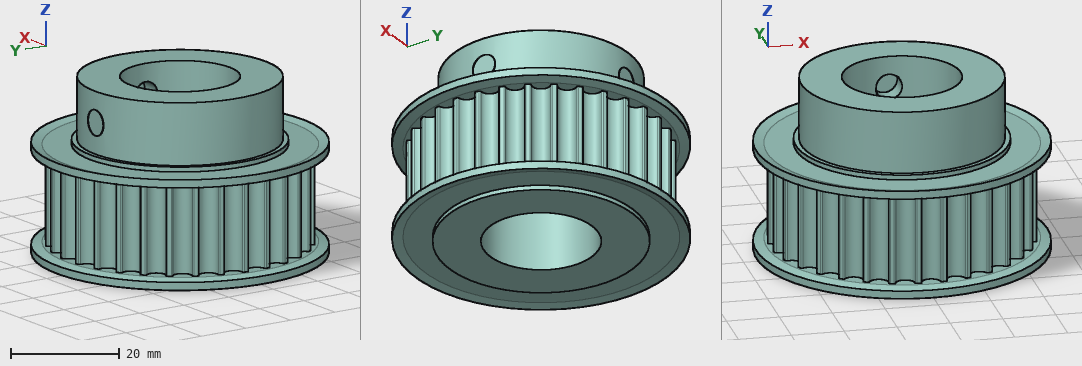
import cadquery as cq
import math

toothed_length = 22.0
hub_length = 12.0
total_height = toothed_length + hub_length

bore_radius = 11.1
hub_diameter = 38.0
hub_radius = hub_diameter / 2
shoulder_radius = 20.0

tooth_count = 32
tip_radius = 24.9
groove_radius = 1.8
groove_center_depth = 0.15
corner_radius = 0.3

flange_radius = 27.5
flange_bend_radius = 25.5
flange_thickness = 1.55
flange_inner_face = 2.5
flange_rim_offset = 0.5

screw_radius = 2.5
screw_length = 4.0
screw_height = toothed_length + hub_length / 2
screw_angles = (0, 90)


def polar(radius, angle):
    """Point at a radius and an angle in radians from the X axis."""
    return (radius * math.cos(angle), radius * math.sin(angle))


def toothed_outline():
    """Closed outline of the teeth: round grooves, rounded tooth corners and round tooth tips."""
    pitch = 2 * math.pi / tooth_count
    groove_center_radius = tip_radius - groove_center_depth
    groove_bottom_radius = groove_center_radius - groove_radius

    corner_center_radius = tip_radius - corner_radius
    center_distance = groove_radius + corner_radius
    corner_angle = math.acos(
        (groove_center_radius**2 + corner_center_radius**2 - center_distance**2)
        / (2 * groove_center_radius * corner_center_radius)
    )
    corner_x, corner_y = polar(corner_center_radius, corner_angle)

    share = groove_radius / center_distance
    wall_x = groove_center_radius + share * (corner_x - groove_center_radius)
    wall_y = share * corner_y
    wall_radius = math.hypot(wall_x, wall_y)
    wall_angle = math.atan2(wall_y, wall_x)

    to_groove = math.atan2(-corner_y, groove_center_radius - corner_x)
    corner_middle = (to_groove + corner_angle) / 2
    middle_x = corner_x + corner_radius * math.cos(corner_middle)
    middle_y = corner_y + corner_radius * math.sin(corner_middle)
    middle_radius = math.hypot(middle_x, middle_y)
    middle_angle = math.atan2(middle_y, middle_x)

    outline = cq.Workplane("XY").moveTo(*polar(wall_radius, -wall_angle))
    for i in range(tooth_count):
        groove = i * pitch
        next_groove = groove + pitch

        groove_bottom = polar(groove_bottom_radius, groove)
        first_wall = polar(wall_radius, groove + wall_angle)
        first_corner = polar(middle_radius, groove + middle_angle)
        tip_start = polar(tip_radius, groove + corner_angle)
        tip_middle = polar(tip_radius, groove + pitch / 2)
        tip_end = polar(tip_radius, next_groove - corner_angle)
        second_corner = polar(middle_radius, next_groove - middle_angle)
        second_wall = polar(wall_radius, next_groove - wall_angle)

        outline = (
            outline
            .threePointArc(groove_bottom, first_wall)
            .threePointArc(first_corner, tip_start)
            .threePointArc(tip_middle, tip_end)
            .threePointArc(second_corner, second_wall)
        )
    return outline.close()


def radial_cylinder(start_radius, end_radius, angle):
    """Cylinder of the set screw size that runs outward at an angle in degrees from the X axis."""
    return (
        cq.Workplane("YZ", origin=(start_radius, 0, screw_height))
        .circle(screw_radius)
        .extrude(end_radius - start_radius)
        .rotate((0, 0, 0), (0, 0, 1), angle)
    )


def make_core():
    """Toothed body with a shoulder for each flange, a hub on top and a through bore."""
    teeth = (
        toothed_outline()
        .extrude(toothed_length - 2 * flange_inner_face)
        .translate((0, 0, flange_inner_face))
    )
    shoulders = cq.Workplane("XY").circle(shoulder_radius).extrude(toothed_length)
    hub = cq.Workplane("XY").circle(hub_radius).extrude(total_height)
    bore = cq.Workplane("XY").circle(bore_radius).extrude(total_height)
    core = teeth.union(shoulders).union(hub).cut(bore)

    for angle in screw_angles:
        core = core.cut(radial_cylinder(0, hub_radius, angle))
    return core


def make_bottom_flange():
    """Flat ring around the bottom shoulder, with its rim bent down away from the teeth."""
    flat_outer_face = flange_inner_face - flange_thickness
    rim_inner_face = flange_inner_face - flange_rim_offset
    rim_outer_face = flat_outer_face - flange_rim_offset
    return (
        cq.Workplane("XZ")
        .polyline([
            (shoulder_radius, flat_outer_face),
            (flange_bend_radius, flat_outer_face),
            (flange_radius, rim_outer_face),
            (flange_radius, rim_inner_face),
            (flange_bend_radius, flange_inner_face),
            (shoulder_radius, flange_inner_face),
        ])
        .close()
        .revolve(360, (0, 0, 0), (0, 1, 0))
    )


def make_set_screw(angle):
    """Plain screw whose flat outer end is level with the outside of the hub."""
    return radial_cylinder(hub_radius - screw_length, hub_radius, angle)


core = make_core()
bottom_flange = make_bottom_flange()
top_flange = bottom_flange.mirror("XY", (0, 0, toothed_length / 2))
set_screws = [make_set_screw(angle) for angle in screw_angles]

result = cq.Compound.makeCompound([
    core.val(),
    bottom_flange.val(),
    top_flange.val(),
    *[screw.val() for screw in set_screws],
])